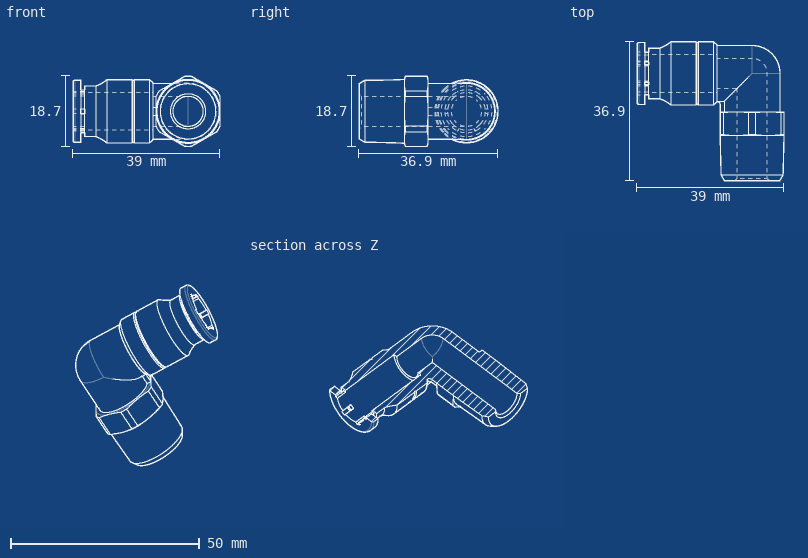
import cadquery as cq
import math


elbow_diameter = 14.9
bore_diameter = 8.0

tube_end = -30.5
flange_back = -28.4
collar_front = -27.45
flare_start = -24.45
flare_end = -21.5
groove_center = -14.6
groove_width = 0.65
groove_depth = 0.27
body_chamfer_start = -10.25
body_back = -9.32

flange_diameter = 16.5
flange_rounding = 0.45
collet_diameter = 11.43
collar_diameter = 13.45
body_diameter = 16.8
body_back_diameter = 15.3
flare_sag = 0.15

socket_diameter = 10.0
slot_count = 6
slot_width = 1.17
slot_length = collar_front - tube_end

hex_top = -10.18
hex_bottom = -16.45
thread_chamfer_start = -26.95
thread_end = -28.49

hex_across_flats = 17.0
hex_corner_diameter = 18.7
hex_chamfer_height = 0.25
thread_tip_diameter = 16.5
thread_end_diameter = 14.65
mouth_diameter = 9.32
mouth_chamfer = (mouth_diameter - bore_diameter) / 2

rib_width = 2.1
rib_fillet = -hex_across_flats / 2 - body_back


def leg_along_x(diameter, end):
    return cq.Workplane("YZ").circle(diameter / 2).extrude(end)


def leg_along_y(diameter, end):
    return cq.Workplane("XZ").circle(diameter / 2).extrude(-end)


def elbow(diameter, x_end, y_end):
    """Two cylinders whose outside corner is filled by a quarter of a ball."""
    radius = diameter / 2
    corner = (
        cq.Workplane("XZ")
        .moveTo(0, -radius)
        .threePointArc((radius, 0), (0, radius))
        .close()
        .revolve(90, (0, 0, 0), (0, 1, 0))
    )
    return leg_along_x(diameter, x_end).union(leg_along_y(diameter, y_end)).union(corner)


def tube_body():
    """Collet flange, neck and grooved body, turned about X."""
    flange_radius = flange_diameter / 2
    collet_radius = collet_diameter / 2
    collar_radius = collar_diameter / 2
    body_radius = body_diameter / 2
    rounding_mid = flange_rounding * (1 - math.sqrt(0.5))
    flare_middle = (
        (flare_start + flare_end) / 2,
        (collar_radius + body_radius) / 2 - flare_sag,
    )
    return (
        cq.Workplane("XY")
        .moveTo(tube_end, 0)
        .lineTo(tube_end, flange_radius - flange_rounding)
        .threePointArc(
            (tube_end + rounding_mid, flange_radius - rounding_mid),
            (tube_end + flange_rounding, flange_radius),
        )
        .lineTo(flange_back, flange_radius)
        .lineTo(flange_back, collet_radius)
        .lineTo(collar_front, collet_radius)
        .lineTo(collar_front, collar_radius)
        .lineTo(flare_start, collar_radius)
        .threePointArc(flare_middle, (flare_end, body_radius))
        .lineTo(groove_center - groove_width / 2, body_radius)
        .lineTo(groove_center, body_radius - groove_depth)
        .lineTo(groove_center + groove_width / 2, body_radius)
        .lineTo(body_chamfer_start, body_radius)
        .lineTo(body_back, body_back_diameter / 2)
        .lineTo(body_back, 0)
        .close()
        .revolve(360, (0, 0, 0), (1, 0, 0))
    )


def hexagon():
    """Hexagon with flats facing +X and -X, its corners turned down and chamfered."""
    prism = (
        cq.Workplane("XZ", origin=(0, hex_top, 0))
        .polygon(6, hex_across_flats, circumscribed=True)
        .extrude(hex_top - hex_bottom)
    )
    envelope = (
        cq.Workplane("XZ", origin=(0, hex_top, 0))
        .circle(hex_corner_diameter / 2)
        .extrude(hex_top - hex_bottom)
        .edges()
        .chamfer(hex_chamfer_height, (hex_corner_diameter - hex_across_flats) / 2)
    )
    return prism.intersect(envelope)


def thread():
    """Plain tapered thread blank with a chamfered tip, turned about Y."""
    return (
        cq.Workplane("XY")
        .polyline([
            (0, hex_bottom),
            (hex_across_flats / 2, hex_bottom),
            (thread_tip_diameter / 2, thread_chamfer_start),
            (thread_end_diameter / 2, thread_end),
            (0, thread_end),
        ])
        .close()
        .revolve(360, (0, 0, 0), (0, 1, 0))
    )


def rib():
    """Rib in the inside corner, blended into the tube leg by a concave fillet."""
    left = -hex_across_flats / 2
    top = -elbow_diameter / 2
    buried = -elbow_diameter / 4
    arc_mid = rib_fillet * (1 - math.sqrt(0.5))
    return (
        cq.Workplane("XY")
        .moveTo(buried, hex_top)
        .lineTo(left, hex_top)
        .lineTo(left, top - rib_fillet)
        .threePointArc((left - arc_mid, top - arc_mid), (body_back, top))
        .lineTo(body_back, buried)
        .lineTo(buried, buried)
        .close()
        .extrude(rib_width / 2, both=True)
    )


def tube_socket():
    return (
        cq.Workplane("YZ", origin=(tube_end, 0, 0))
        .circle(socket_diameter / 2)
        .extrude(body_back - tube_end)
    )


def collet_slots():
    """Radial slots through the collet wall, open at the tube end."""
    bars = cq.Workplane("XY")
    for index in range(slot_count // 2):
        bar = (
            cq.Workplane("YZ", origin=(tube_end, 0, 0))
            .rect(collet_diameter, slot_width)
            .extrude(slot_length)
            .rotate((0, 0, 0), (1, 0, 0), index * 360 / slot_count)
        )
        bars = bars.add(bar)
    return bars.combine()


def thread_mouth():
    """Chamfer where the bore opens at the threaded end."""
    return (
        cq.Workplane("XZ", origin=(0, thread_end + mouth_chamfer, 0))
        .circle(bore_diameter / 2)
        .workplane(offset=mouth_chamfer)
        .circle(mouth_diameter / 2)
        .loft()
    )


outside = elbow(elbow_diameter, body_back, hex_top)
for feature in (tube_body(), hexagon(), thread(), rib()):
    outside = outside.union(feature)

result = outside.cut(elbow(bore_diameter, tube_end, thread_end))
for cavity in (tube_socket(), collet_slots(), thread_mouth()):
    result = result.cut(cavity)